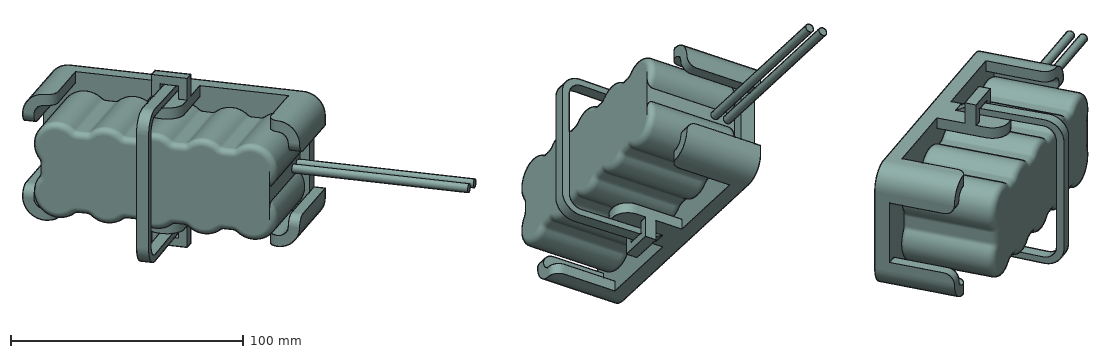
import cadquery as cq
import math


overall_length = 195.9
overall_depth = 63.7
overall_height = 78.0

holder_length = 125.0
holder_depth = 37.0
wall = 5.0
floor_depth = 6.9
corner_radius = 10.0
arm_width = 14.5
arm_tip_radius = 4.9

loop_width = 16.0
tab_tip_radius = 7.5
loop_height = 10.0
loop_bar = 4.0
loop_start = 19.8
loop_thickness = 5.3

cell_radius = 11.0
cell_pitch = 22.0
cells_per_row = 5
pack_length = 43.9
pack_start = 7.8
pack_offset = 1.5
pack_edge_radius = 3.0
blend_radius = 3.0
top_valley_depth = 3.3
left_valley_depth = 3.0
right_valley_depth = 4.1

wire_diameter = 4.0
wire_depths = (11.4, 17.6)
wire_shortening = (0.0, 0.5)

strap_width = 5.5
arm_thickness = 3.1
bridge_thickness = 3.5
bridge_half_height = 35.3
arm_lean = 0.8
bend_outer_radius = 9.0
bend_inner_radius = 6.0
barb_length = 6.5
barb_height = 34.9

holder_height = overall_height - 2 * loop_height
half_length = holder_length / 2
half_height = holder_height / 2
inner_half_length = half_length - wall
inner_half_height = half_height - wall


def box(x_range, depth_range, z_range):
    """Axis-aligned block; the depths are measured from the back face towards -Y."""
    sizes = [abs(r[1] - r[0]) for r in (x_range, depth_range, z_range)]
    corner = cq.Vector(min(x_range), -max(depth_range), min(z_range))
    return cq.Workplane(obj=cq.Solid.makeBox(*sizes, corner))


def wall_opening(plane, start_depth, half_width):
    """Outline of an opening between two arms, flared where the arm tips are rounded."""
    shoulder = holder_depth - arm_tip_radius
    flare = half_width + arm_tip_radius
    mid_across = flare - arm_tip_radius * math.sqrt(0.5)
    mid_depth = shoulder + arm_tip_radius * math.sqrt(0.5)
    return (
        cq.Workplane(plane)
        .moveTo(-half_width, -start_depth)
        .lineTo(-half_width, -shoulder)
        .threePointArc((-mid_across, -mid_depth), (-flare, -holder_depth))
        .lineTo(flare, -holder_depth)
        .threePointArc((mid_across, -mid_depth), (half_width, -shoulder))
        .lineTo(half_width, -start_depth)
        .close()
    )


def make_tray():
    outside = box((-half_length, half_length), (0, holder_depth), (-half_height, half_height))
    cavity = box(
        (-inner_half_length, inner_half_length),
        (floor_depth, holder_depth),
        (-inner_half_height, inner_half_height),
    )
    tray = outside.edges("|Y").fillet(corner_radius)
    tray = tray.cut(cavity.edges("|Y").fillet(corner_radius - wall))

    long_opening = wall_opening("XY", floor_depth, half_length - arm_width)
    tray = tray.cut(long_opening.extrude(half_height, both=True))

    half_opening = half_height - arm_width
    for side, start_depth in ((-1, floor_depth), (1, 0)):
        plane = cq.Plane(origin=(side * inner_half_length, 0, 0), xDir=(0, 0, -1), normal=(1, 0, 0))
        tray = tray.cut(wall_opening(plane, start_depth, half_opening).extrude(side * wall))
    return tray


def make_loop(side):
    """Tab with rounded corners and the strap loop standing on it; side is +1 (top) or -1 (bottom)."""
    half_width = loop_width / 2
    half_window = half_width - loop_bar
    outer = side * overall_height / 2
    face = side * half_height
    depths = (loop_start, loop_start + loop_thickness)
    tab = box((-half_width, half_width), (floor_depth, holder_depth), (side * inner_half_height, face))
    tab = tab.edges("|Z and <Y").fillet(tab_tip_radius)
    frame = box((-half_width, half_width), depths, (face, outer))
    window = box((-half_window, half_window), depths, (face, outer - side * loop_bar))
    return tab.union(frame.cut(window))


def make_holder():
    holder = make_tray()
    for side in (1, -1):
        holder = holder.union(make_loop(side))
    return holder


half_pitch = cell_pitch / 2
row_half = cell_pitch * (cells_per_row - 1) / 2
pack_left = pack_offset - row_half - cell_radius
pack_right = pack_offset + row_half + cell_radius
pack_top = half_pitch + cell_radius
pack_depths = (pack_start, pack_start + pack_length)
cap_right = pack_right - pack_edge_radius


def make_wrapped_cells():
    """Two rows of cells joined by a core, with blended valleys and rounded ends."""
    valley_z = pack_top - top_valley_depth
    end_cells = (pack_offset - row_half, pack_offset + row_half)
    valley_x = (pack_left + left_valley_depth, pack_right - right_valley_depth)
    body = box(end_cells, pack_depths, (-valley_z, valley_z))
    body = body.union(box(valley_x, pack_depths, (-half_pitch, half_pitch)))
    for column in range(cells_per_row):
        for row_z in (-half_pitch, half_pitch):
            axis = (end_cells[0] + column * cell_pitch, -pack_start, row_z)
            cell = cq.Workplane("XZ", origin=axis).circle(cell_radius).extrude(pack_length)
            body = body.union(cell)
    body = body.faces("|X or |Z").edges("|Y").fillet(blend_radius)
    return body.faces("<Y or >Y").edges().fillet(pack_edge_radius)


def make_wire(depth, shortening):
    start = (pack_offset, -depth, 0)
    length = overall_length - half_length - shortening - pack_offset
    return cq.Workplane("YZ", origin=start).circle(wire_diameter / 2).extrude(length)


def make_pack():
    cap = box((pack_offset, cap_right), pack_depths, (-half_pitch, half_pitch))
    pack = make_wrapped_cells().union(cap)
    for depth, shortening in zip(wire_depths, wire_shortening):
        pack = pack.union(make_wire(depth, shortening))
    return pack


def symmetric_slab(upper_points):
    """Slab of the strap's width, from the upper half of its outline in the YZ plane."""
    lower_points = [(y, -z) for y, z in reversed(upper_points)]
    return (
        cq.Workplane("YZ", origin=(-strap_width / 2, 0, 0))
        .polyline(upper_points + lower_points)
        .close()
        .extrude(strap_width)
    )


def make_strap():
    """U-shaped strap whose two arms end in barbs behind the loops."""
    outer_at_loop = bridge_half_height - arm_lean
    inner_at_bridge = bridge_half_height - arm_thickness
    inner_at_loop = outer_at_loop - arm_thickness
    bridge_inside = overall_depth - bridge_thickness
    barb_tip = loop_start - barb_length
    outside = symmetric_slab([
        (-barb_tip, inner_at_loop),
        (-loop_start, barb_height),
        (-loop_start, outer_at_loop),
        (-overall_depth, bridge_half_height),
    ])
    inside = symmetric_slab([(-barb_tip, inner_at_loop), (-bridge_inside, inner_at_bridge)])
    outside = outside.edges("|X and <Y").fillet(bend_outer_radius)
    inside = inside.edges("|X and <Y").fillet(bend_inner_radius)
    return outside.cut(inside)


holder = make_holder()
pack = make_pack()
strap = make_strap()

result = cq.Compound.makeCompound([holder.val(), pack.val(), strap.val()])